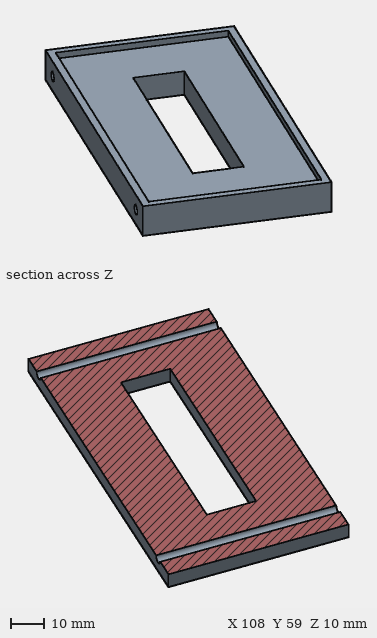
import cadquery as cq

length = 108.0
width = 59.0
height = 10.0

rim = 2.5
recess_depth = 2.0

window_length = 66.0
window_width = 16.0

hole_diameter = 3.0
hole_end_distance = 8.0
hole_spacing = length - 2 * hole_end_distance


def make_block():
    """Plain block centred in X and Y, standing on Z = 0."""
    return cq.Workplane("XY").box(length, width, height, centered=(True, True, False))


def cut_recess(body):
    """Sink the top face inside the rim."""
    return (
        body.faces(">Z").workplane()
        .rect(length - 2 * rim, width - 2 * rim)
        .cutBlind(-recess_depth)
    )


def cut_window(body):
    """Open the central window through the floor."""
    window = cq.Workplane("XY").rect(window_length, window_width).extrude(height)
    return body.cut(window)


def cut_cross_holes(body):
    """Drill both holes across the full width at mid-height."""
    holes = (
        cq.Workplane("XZ", origin=(0, 0, height / 2))
        .rarray(hole_spacing, 1.1, 2, 1)
        .circle(hole_diameter / 2)
        .extrude(width / 2, both=True)
    )
    return body.cut(holes)


result = cut_cross_holes(cut_window(cut_recess(make_block())))